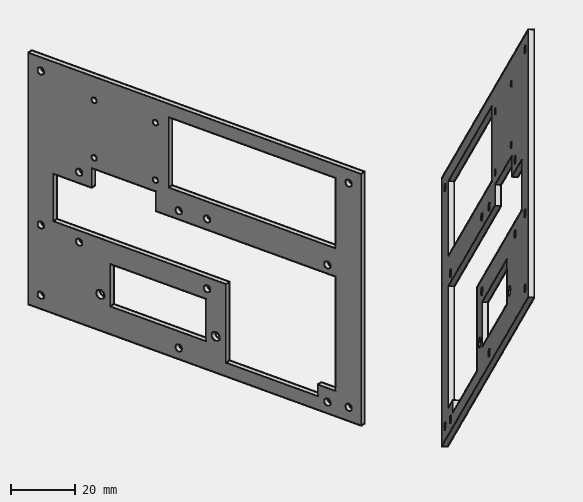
import cadquery as cq

LENGTH = 130.0
THICKNESS = 2.0
HEIGHT = 90.0

HOLE_INSET = 5.0
MOUNT_DIAMETER = 2.5
CORNER_X = LENGTH / 2 - HOLE_INSET
CORNER_Z = HEIGHT / 2 - HOLE_INSET
LEFT_EDGE_HOLE_Z = -15.0

ARM_HOLES_X = (-45.1, 4.8)
ARM_HOLES_Z = (-16.1, 8.8)

BAY_HOLES_X = (-6.2, 51.7)
BAY_HOLES_Z = (-41.0, 8.0)

SMALL_DIAMETER = 2.0
SMALL_HOLES_X = (-39.3, -15.3)
SMALL_HOLES_Z = (16.0, 36.5)

OPENING_RIGHT = 54.9
UPPER_WINDOW_LEFT = -10.1
UPPER_WINDOW_BOTTOM = 15.1
UPPER_WINDOW_TOP = 40.2

ARM_LEFT = -55.1
ARM_BOTTOM = -12.0
ARM_TOP = 5.0
NOTCH_LEFT = -40.2
NOTCH_RIGHT = -15.2
NOTCH_TOP = 12.0
BAY_LEFT = 12.2
BAY_BOTTOM = -40.0
TAB_LEFT = 48.0
TAB_TOP = -35.9

LOWER_WINDOW_LEFT = -32.9
LOWER_WINDOW_RIGHT = 4.3
LOWER_WINDOW_BOTTOM = -35.0
LOWER_WINDOW_TOP = -19.9
LARGE_DIAMETER = 3.1
LARGE_HOLE_SPACING = 45.0
LARGE_HOLE_Z = -32.0


def extrude_through(sketch):
    """Extrude an XZ sketch over the plate thickness, centred on Y = 0."""
    return sketch.extrude(THICKNESS / 2, both=True)


def window(left, right, bottom, top):
    center = ((left + right) / 2, (bottom + top) / 2)
    sketch = cq.Workplane("XZ").center(*center).rect(right - left, top - bottom)
    return extrude_through(sketch)


def holes(points, diameter):
    return extrude_through(cq.Workplane("XZ").pushPoints(points).circle(diameter / 2))


def grid(x_values, z_values):
    return [(x, z) for x in x_values for z in z_values]


def stepped_opening():
    outline = [
        (ARM_LEFT, ARM_BOTTOM),
        (ARM_LEFT, ARM_TOP),
        (NOTCH_LEFT, ARM_TOP),
        (NOTCH_LEFT, NOTCH_TOP),
        (NOTCH_RIGHT, NOTCH_TOP),
        (NOTCH_RIGHT, ARM_TOP),
        (OPENING_RIGHT, ARM_TOP),
        (OPENING_RIGHT, TAB_TOP),
        (TAB_LEFT, TAB_TOP),
        (TAB_LEFT, BAY_BOTTOM),
        (BAY_LEFT, BAY_BOTTOM),
        (BAY_LEFT, ARM_BOTTOM),
    ]
    return extrude_through(cq.Workplane("XZ").polyline(outline).close())


mount_points = grid((-CORNER_X, CORNER_X), (-CORNER_Z, CORNER_Z))
mount_points += [(-CORNER_X, LEFT_EDGE_HOLE_Z)]
mount_points += grid(ARM_HOLES_X, ARM_HOLES_Z)
mount_points += grid(BAY_HOLES_X, BAY_HOLES_Z)

lower_window_center_x = (LOWER_WINDOW_LEFT + LOWER_WINDOW_RIGHT) / 2
large_holes_x = [lower_window_center_x + side * LARGE_HOLE_SPACING / 2 for side in (-1, 1)]

plate = cq.Workplane("XY").box(LENGTH, THICKNESS, HEIGHT)
result = (
    plate
    .cut(window(UPPER_WINDOW_LEFT, OPENING_RIGHT, UPPER_WINDOW_BOTTOM, UPPER_WINDOW_TOP))
    .cut(window(LOWER_WINDOW_LEFT, LOWER_WINDOW_RIGHT, LOWER_WINDOW_BOTTOM, LOWER_WINDOW_TOP))
    .cut(stepped_opening())
    .cut(holes(mount_points, MOUNT_DIAMETER))
    .cut(holes(grid(SMALL_HOLES_X, SMALL_HOLES_Z), SMALL_DIAMETER))
    .cut(holes(grid(large_holes_x, (LARGE_HOLE_Z,)), LARGE_DIAMETER))
)